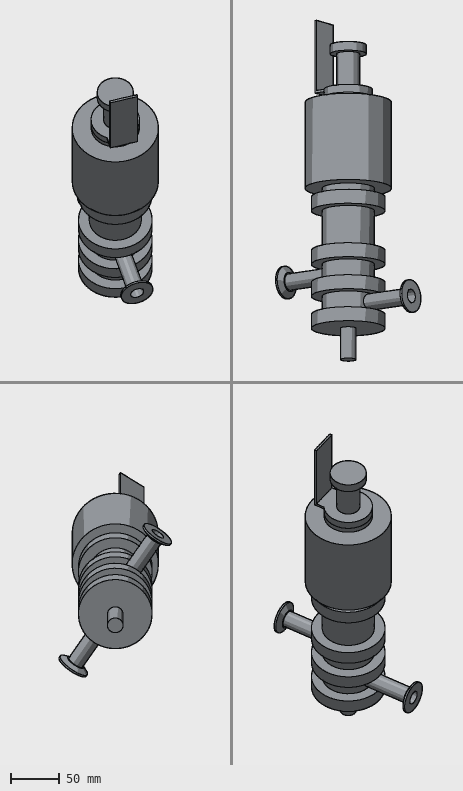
import cadquery as cq

FLANGE_BASE = 33.0
FLANGE_THICKNESS = 14.7
CHAMBER_PITCH = 33.8
LOWER_FLANGE_COUNT = 3
UPPER_FLANGE_BASE = 157.0
DRUM_BASE = 180.5
DRUM_TOP = 271.5
SEAT_TOP = 277.0
COLLAR_TOP = 285.0
CAP_BASE = 322.5
CAP_TOP = 331.8
PLATE_TOP = 359.0

ROD_DIAMETER = 16.0
BODY_DIAMETER = 54.0
FLANGE_DIAMETER = 76.0
DRUM_DIAMETER = 89.0
COLLAR_DIAMETER = 50.0
STEM_DIAMETER = 24.0
CAP_DIAMETER = 37.5

NOZZLE_REACH = 80.0
NOZZLE_DIAMETER = 17.2
NOZZLE_BORE = 14.0
FERRULE_DIAMETER = 34.0
FERRULE_NECK_DIAMETER = 20.0
FERRULE_RIM = 2.0
FERRULE_LENGTH = 5.7

PLATE_THICKNESS = 2.5
PLATE_WIDTH = 29.5
PLATE_OUTER_X = 32.0

LOWER_NOZZLE_Z = FLANGE_BASE + (FLANGE_THICKNESS + CHAMBER_PITCH) / 2
UPPER_NOZZLE_Z = LOWER_NOZZLE_Z + CHAMBER_PITCH


def disc(diameter, bottom, top):
    """Upright cylinder on the main axis."""
    return cq.Workplane("XY").workplane(offset=bottom).circle(diameter / 2).extrude(top - bottom)


def nozzle(side, height):
    """Bored tube and ferrule; side is -1 or 1 along X."""
    bore_radius = NOZZLE_BORE / 2
    tube_radius = NOZZLE_DIAMETER / 2
    ferrule_radius = FERRULE_DIAMETER / 2
    profile = [
        (0, bore_radius),
        (NOZZLE_REACH, bore_radius),
        (NOZZLE_REACH, ferrule_radius),
        (NOZZLE_REACH - FERRULE_RIM, ferrule_radius),
        (NOZZLE_REACH - FERRULE_LENGTH, FERRULE_NECK_DIAMETER / 2),
        (NOZZLE_REACH - FERRULE_LENGTH, tube_radius),
        (0, tube_radius),
    ]
    points = [(side * x, radius) for x, radius in profile]
    turned = cq.Workplane("XZ").polyline(points).close().revolve(360, (0, 0), (1, 0))
    return turned.translate((0, 0, height))


def make_valve_body():
    """Drain rod, flanged column, drum and collar seat with both nozzles."""
    body = disc(ROD_DIAMETER, 0, FLANGE_BASE)
    body = body.union(disc(BODY_DIAMETER, FLANGE_BASE, DRUM_BASE))
    flange_bases = [FLANGE_BASE + i * CHAMBER_PITCH for i in range(LOWER_FLANGE_COUNT)] + [UPPER_FLANGE_BASE]
    for base in flange_bases:
        body = body.union(disc(FLANGE_DIAMETER, base, base + FLANGE_THICKNESS))
    body = body.union(disc(DRUM_DIAMETER, DRUM_BASE, DRUM_TOP))
    body = body.union(disc(COLLAR_DIAMETER, DRUM_TOP, SEAT_TOP))
    body = body.union(nozzle(-1, LOWER_NOZZLE_Z))
    return body.union(nozzle(1, UPPER_NOZZLE_Z))


def make_bracket():
    """L-shaped strip running out from the axis and up to the plate top."""
    inner_x = PLATE_OUTER_X - PLATE_THICKNESS
    foot_bottom = COLLAR_TOP - PLATE_THICKNESS
    outline = [
        (0, foot_bottom),
        (PLATE_OUTER_X, foot_bottom),
        (PLATE_OUTER_X, PLATE_TOP),
        (inner_x, PLATE_TOP),
        (inner_x, COLLAR_TOP),
        (0, COLLAR_TOP),
    ]
    return cq.Workplane("XZ").polyline(outline).close().extrude(PLATE_WIDTH / 2, both=True)


def make_indicator():
    """Collar with its stem, cap and bracket, resting on the seat."""
    indicator = disc(COLLAR_DIAMETER, SEAT_TOP, COLLAR_TOP)
    indicator = indicator.union(disc(STEM_DIAMETER, COLLAR_TOP, CAP_BASE))
    indicator = indicator.union(disc(CAP_DIAMETER, CAP_BASE, CAP_TOP))
    return indicator.union(make_bracket())


valve_body = make_valve_body()
indicator = make_indicator()

result = cq.Compound.makeCompound([valve_body.val(), indicator.val()])